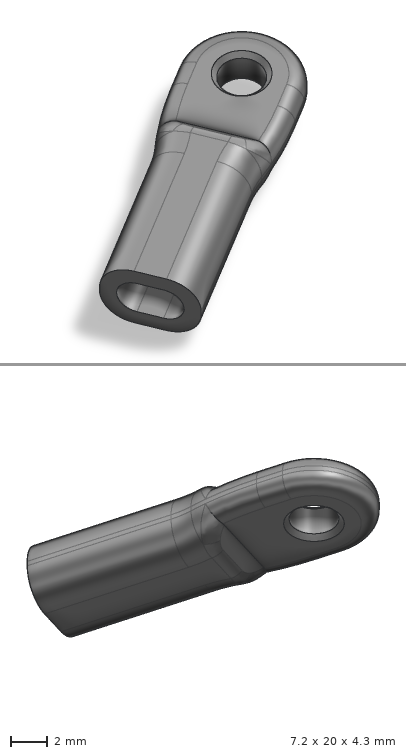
import cadquery as cq
import math

length = 20.0
eye_width = 7.2
eye_thickness = 2.3
shank_width = 5.88
shank_thickness = 4.3

eye_center_y = length - eye_width / 2
eye_straight_end = 14.75
flare_inflection = 10.38
shank_straight_end = 9.05

shank_round = 2.0
eye_round = 1.0
shoulder_foot_y = 12.0
shoulder_tip_y = shoulder_foot_y + eye_thickness / 2
shoulder_round = 1.0

hole_diameter = 2.75
hole_chamfer = 0.3

bore_width = 3.9
bore_height = 2.35
bore_depth = shank_straight_end
bore_tip_half_angle = 45.0


def outline_plate(thickness):
    """Plate with the full plan outline: rounded eye, flared sides, straight shank."""
    eye_half = eye_width / 2
    shank_half = shank_width / 2
    flare_share = (flare_inflection - shank_straight_end) / (eye_straight_end - shank_straight_end)
    inflection_half = shank_half + (eye_half - shank_half) * flare_share
    right_half = (
        cq.Workplane("XY")
        .workplane(offset=-thickness / 2)
        .moveTo(0, 0)
        .lineTo(shank_half, 0)
        .lineTo(shank_half, shank_straight_end)
        .tangentArcPoint((inflection_half, flare_inflection), relative=False)
        .tangentArcPoint((eye_half, eye_straight_end), relative=False)
        .lineTo(eye_half, eye_center_y)
        .tangentArcPoint((0, length), relative=False)
        .close()
        .extrude(thickness)
    )
    return right_half.union(right_half.mirror("YZ")).clean()


def eye():
    """Thin plate with its upper and lower edges rounded; it runs on inside the shank."""
    return outline_plate(eye_thickness).faces("|Z").edges("not(<Y)").fillet(eye_round)


def shank():
    """Thick shank ending in a symmetric 45 degree wedge with rounded shoulders."""
    half = shank_thickness / 2
    slope_profile = [
        (0, -half),
        (shoulder_tip_y + half, -half),
        (shoulder_tip_y - half, half),
        (0, half),
    ]
    slope = cq.Workplane("YZ").polyline(slope_profile).close().extrude(eye_width, both=True)
    body = outline_plate(shank_thickness).faces(">Z").edges("not(<Y)").fillet(shank_round)
    body = body.intersect(slope)
    slope_face = body.faces(cq.selectors.DirectionMinMaxSelector(cq.Vector(0, 1, 1)))
    body = slope_face.edges("not(<Z)").fillet(shoulder_round)
    upper_space = cq.Workplane("XY").box(2 * eye_width, 2 * length, half, centered=(True, True, False))
    upper = body.intersect(upper_space)
    return upper.union(upper.mirror("XY"))


def bore():
    """Slot-shaped cutter with a drill-point end swept along the slot."""
    radius = bore_height / 2
    offset = (bore_width - bore_height) / 2
    tip_y = bore_depth + radius / math.tan(math.radians(bore_tip_half_angle))
    drill_profile = [(0, 0), (0, radius), (bore_depth, radius), (tip_y, 0)]
    half_drill = cq.Workplane("YZ").polyline(drill_profile).close().revolve(180, (0, 0), (1, 0))
    left_end = half_drill.mirror("YZ").translate((-offset, 0, 0))
    right_end = half_drill.translate((offset, 0, 0))
    middle = (
        cq.Workplane("YZ")
        .polyline([(0, -radius), (bore_depth, -radius), (tip_y, 0), (bore_depth, radius), (0, radius)])
        .close()
        .extrude(offset, both=True)
    )
    return middle.union(left_end).union(right_end)


def eye_hole():
    """Through hole cutter, chamfered at both faces of the eye."""
    radius = hole_diameter / 2
    rim = radius + hole_chamfer
    half = eye_thickness / 2
    throat = half - hole_chamfer
    profile = [(0, -half), (rim, -half), (radius, -throat), (radius, throat), (rim, half), (0, half)]
    cutter = cq.Workplane("XZ").polyline(profile).close().revolve(360, (0, 0), (0, 1))
    return cutter.translate((0, eye_center_y, 0))


result = eye().union(shank()).cut(bore()).cut(eye_hole())